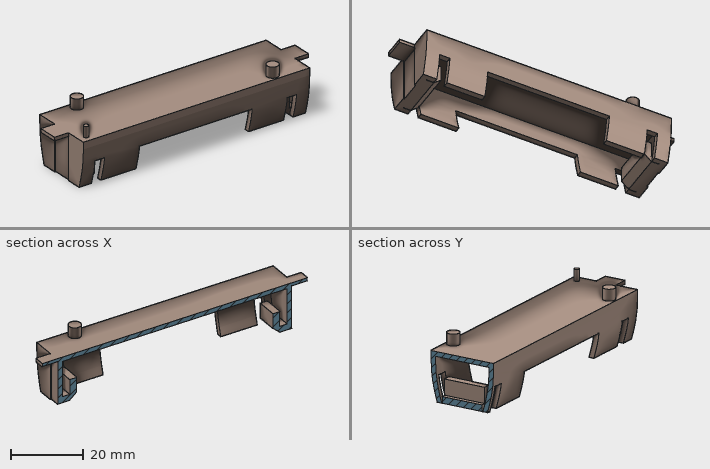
import cadquery as cq
import math

overall_length = 86.5
overall_height = 18.3
housing_width = 20.7
housing_length = 77.0
housing_height = 14.9

upright_band = 2.3
lip_height = 2.6
side_radius = 38.0

wall = 1.6
top_thickness = 1.55

tab_width = 6.5
tab_thickness = 1.1
recess_depth = 0.35

opening_top = 7.2
end_block_length = 4.2
slot_end = 7.4
leg_end = 19.4

hook_width = 13.1
hook_arm_thickness = 2.3
hook_floor_thickness = 2.1
hook_top = 8.0
hook_reach = 6.6
hook_nose_height = 2.0

pin_height = overall_height - housing_height
peg_diameter = 3.7
peg_x = 7.95
peg_y = 27.6
small_pin_diameter = 1.55
small_pin_y = -35.9

end_y = housing_length / 2
end_wall_inner_y = end_y - recess_depth - wall


def side_block(half_width, length, top_z):
    """Prism along Y with curved sides, from top_z down to the bottom of the housing."""
    arc_drop = housing_height - lip_height - upright_band
    lean = math.asin(arc_drop / side_radius)
    arc_end_x = half_width - side_radius * (1 - math.cos(lean))
    bottom_x = arc_end_x - lip_height * math.tan(lean)
    arc_mid_x = half_width - side_radius * (1 - math.cos(lean / 2))
    arc_mid_z = -upright_band - side_radius * math.sin(lean / 2)
    lip_z = lip_height - housing_height
    return (
        cq.Workplane("XZ")
        .moveTo(-half_width, top_z)
        .lineTo(half_width, top_z)
        .lineTo(half_width, -upright_band)
        .threePointArc((arc_mid_x, arc_mid_z), (arc_end_x, lip_z))
        .lineTo(bottom_x, -housing_height)
        .lineTo(-bottom_x, -housing_height)
        .lineTo(-arc_end_x, lip_z)
        .threePointArc((-arc_mid_x, arc_mid_z), (-half_width, -upright_band))
        .close()
        .extrude(length / 2, both=True)
    )


def box_between(width, y_start, y_end, z_bottom, z_top):
    """Box centred on X between the given Y and Z limits."""
    box = cq.Workplane("XY").box(width, y_end - y_start, z_top - z_bottom, centered=(True, False, False))
    return box.translate((0, y_start, z_bottom))


def at_end(shape, turn):
    """Copy of a +Y end feature, turned about Z to the chosen end."""
    return shape.rotate((0, 0, 0), (0, 0, 1), turn)


def make_hook():
    """Sprung hook at the +Y end: a floor reaching inwards from the end wall, then an upright arm."""
    inner_y = end_y - hook_reach
    arm_back_y = inner_y + hook_arm_thickness
    floor_z = hook_floor_thickness - housing_height
    foot_y = end_y - end_block_length
    return (
        cq.Workplane("YZ")
        .polyline([
            (end_wall_inner_y, floor_z),
            (arm_back_y, floor_z),
            (arm_back_y, -hook_top),
            (inner_y, -hook_top),
            (inner_y, hook_nose_height - housing_height),
            (foot_y, -housing_height),
            (end_wall_inner_y, -housing_height),
        ])
        .close()
        .extrude(hook_width / 2, both=True)
    )


def make_housing():
    body = side_block(housing_width / 2, housing_length, 0)
    cavity = side_block(housing_width / 2 - wall, 2 * end_wall_inner_y, -top_thickness)
    body = body.cut(cavity)

    leg_y = end_y - leg_end
    body = body.cut(box_between(housing_width, -leg_y, leg_y, -housing_height, -opening_top))
    slot_outer_y = end_y - end_block_length
    slot_inner_y = end_y - slot_end
    slot = box_between(housing_width, slot_inner_y, slot_outer_y, -housing_height, -opening_top)

    recess = box_between(tab_width, end_y - recess_depth, end_y, -housing_height, -tab_thickness)
    tab = box_between(tab_width, end_y - wall, overall_length / 2, -tab_thickness, 0)
    hook = make_hook()
    for turn in (0, 180):
        body = body.cut(at_end(slot, turn))
        body = body.cut(at_end(recess, turn))
        body = body.union(at_end(tab, turn))
        body = body.union(at_end(hook, turn))
    return body


def make_pin(diameter, x, y):
    """Round pin standing on the top face."""
    return cq.Workplane("XY").center(x, y).circle(diameter / 2).extrude(pin_height)


housing = make_housing()
locating_pegs = [make_pin(peg_diameter, side * peg_x, side * peg_y) for side in (-1, 1)]
small_pin = make_pin(small_pin_diameter, peg_x, small_pin_y)

result = cq.Compound.makeCompound([
    housing.val(),
    *[peg.val() for peg in locating_pegs],
    small_pin.val(),
])